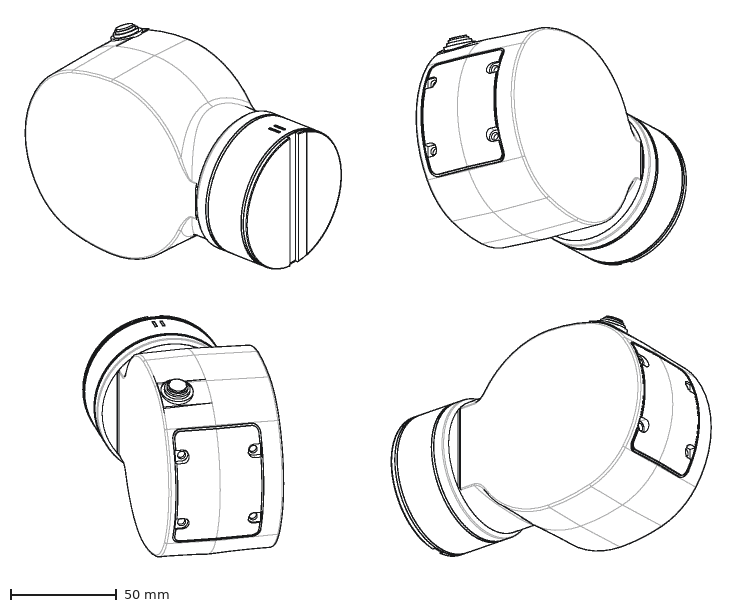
import math

import cadquery as cq

DRUM_RADIUS = 47.5
CROWN_RADIUS = 92.0
SHOULDER_RADIUS = 38.7
BACK_RADIUS = 50.3
BACK_X = -55.46
HOUSING_FRONT_Y = -31.2
HOUSING_REAR_Y = 24.6
DRAFT_ANGLE = 1.5
RIM_FILLET = 1.0

NECK_RADIUS = 32.6
NECK_FILLET = 4.5
NECK_LIP_LENGTH = 1.0
NECK_LIP_STEP = 0.7
COLLAR_RADIUS = 34.5
COLLAR_START_X = 53.9
COLLAR_END_X = 87.0
COLLAR_CHAMFER = 2.0
COLLAR_CHAMFER_BLEND = 1.0
COLLAR_END_CHAMFER = 0.4
GROOVE_WIDTH = 1.4
GROOVE_DEPTH = 0.25
GROOVE_STARTS_X = (61.4, 83.4)
PAD_HEIGHT = 0.35
PAD_RADIUS = 34.0
PAD_EDGE_Y = 9.0
SLOT_WIDTH = 6.0
SLOT_DEPTH = 1.7
MARK_LENGTH = 6.3
MARK_WIDTH = 1.1
MARK_DEPTH = 0.3
MARK_OFFSET_Y = 1.9
MARK_CENTER_X = 76.4

COVER_WIDTH = 42.6
COVER_HEIGHT = 57.4
COVER_CORNER = 4.0
COVER_GROOVE_WIDTH = 0.9
COVER_GROOVE_DEPTH = 0.5
SCREW_Y = 17.4
SCREW_Z = 17.0
SCREW_POCKET_RADIUS = 3.0
SCREW_POCKET_FLOOR_X = -49.5
SCREW_HOLE_RADIUS = 1.9
SCREW_HOLE_DEPTH = 2.0

GLAND_SEAT_X = (-38.0, -24.0)
GLAND_X = -31.0
GLAND_Y = 15.4
GLAND_TILT = 22.0
GLAND_BASE_Z = 42.6
GLAND_FLANGE_RADIUS = 7.7
GLAND_FLANGE_DEPTH = 5.0
GLAND_STEPS = ((6.1, 1.5), (5.0, 2.7), (4.2, 3.55))

OVERSHOOT = 10.0


def toward(center, target, distance):
    """Point at a distance from center, in the direction of target."""
    dx = target[0] - center[0]
    dz = target[1] - center[1]
    scale = distance / math.hypot(dx, dz)
    return (center[0] + dx * scale, center[1] + dz * scale)


def arc_middle(center, start, end, radius):
    """Middle point of the short arc from start to end."""
    chord_middle = ((start[0] + end[0]) / 2, (start[1] + end[1]) / 2)
    return toward(center, chord_middle, radius)


def shoulder_center(crown_center, back_center):
    """Center of the shoulder arc that is tangent inside the crown and back arcs."""
    crown_reach = CROWN_RADIUS - SHOULDER_RADIUS
    back_reach = BACK_RADIUS - SHOULDER_RADIUS
    dx = back_center[0] - crown_center[0]
    dz = back_center[1] - crown_center[1]
    span = math.hypot(dx, dz)
    along = (crown_reach**2 - back_reach**2 + span**2) / (2 * span)
    across = math.sqrt(crown_reach**2 - along**2)
    x = crown_center[0] + (along * dx - across * dz) / span
    z = crown_center[1] + (along * dz + across * dx) / span
    return (x, z)


def mirrored(point):
    return (point[0], -point[1])


def housing_outline(inset):
    """Closed outline of the housing at the parting plane, moved inward by the inset."""
    top = (0, DRUM_RADIUS)
    crown_center = (0, DRUM_RADIUS - CROWN_RADIUS)
    back = (BACK_X, 0)
    back_center = (BACK_X + BACK_RADIUS, 0)
    shoulder = shoulder_center(crown_center, back_center)
    crown_end = toward(crown_center, shoulder, CROWN_RADIUS)
    back_start = toward(back_center, shoulder, BACK_RADIUS)
    crown_middle = arc_middle(crown_center, top, crown_end, CROWN_RADIUS)
    shoulder_middle = arc_middle(shoulder, crown_end, back_start, SHOULDER_RADIUS)
    outline = (
        cq.Workplane("XZ")
        .moveTo(*top)
        .threePointArc(crown_middle, crown_end)
        .threePointArc(shoulder_middle, back_start)
        .threePointArc(back, mirrored(back_start))
        .threePointArc(mirrored(shoulder_middle), mirrored(crown_end))
        .threePointArc(mirrored(crown_middle), mirrored(top))
        .threePointArc((DRUM_RADIUS, 0), top)
        .close()
    )
    return outline.offset2D(-inset) if inset else outline


def housing_slab(taper, inset=0.0):
    """Housing drum, narrowed by the taper from the parting plane to both faces."""
    front = housing_outline(inset).extrude(-HOUSING_FRONT_Y, taper=taper)
    rear = housing_outline(inset).extrude(-HOUSING_REAR_Y, taper=taper)
    return front.union(rear)


def disc_along_x(radius, start_x, length):
    return cq.Workplane("YZ", origin=(start_x, 0, 0)).circle(radius).extrude(length)


def flattened_neck(start_x, step):
    """Round bar from start_x to the collar; its flats stand proud of the housing faces by the step."""
    length = COLLAR_START_X - start_x
    width = HOUSING_REAR_Y - HOUSING_FRONT_Y + 2 * step
    limits = cq.Workplane("XY").box(length, width, 2 * NECK_RADIUS, centered=(False, False, True))
    limits = limits.translate((start_x, HOUSING_FRONT_Y - step, 0))
    return disc_along_x(NECK_RADIUS, start_x, length).intersect(limits)


def rounded_body():
    """Housing and neck, with the junction and then the rims of both faces rounded."""
    body = housing_slab(DRAFT_ANGLE).union(flattened_neck(0, 0))
    body = body.edges("%BSPLINE").fillet(NECK_FILLET)
    for face in ("<Y", ">Y"):
        body = body.faces(face).edges("not %LINE").fillet(RIM_FILLET)
    lip = flattened_neck(COLLAR_START_X - NECK_LIP_LENGTH, NECK_LIP_STEP)
    return body.union(lip)


def collar():
    """Collar ring with its chamfers, two shallow grooves and the raised part of its end face."""
    ring = disc_along_x(COLLAR_RADIUS, COLLAR_START_X, COLLAR_END_X - COLLAR_START_X)
    ring = ring.faces("<X").edges().chamfer(COLLAR_CHAMFER)
    ring = ring.faces(">X").edges().chamfer(COLLAR_END_CHAMFER)
    widest_edges = cq.selectors.RadiusNthSelector(-1)
    ring = ring.edges(widest_edges).edges("<X").fillet(COLLAR_CHAMFER_BLEND)
    for start_x in GROOVE_STARTS_X:
        groove = disc_along_x(COLLAR_RADIUS + OVERSHOOT, start_x, GROOVE_WIDTH)
        ring = ring.cut(groove.cut(disc_along_x(COLLAR_RADIUS - GROOVE_DEPTH, start_x, GROOVE_WIDTH)))
    return ring.union(end_pad())


def end_pad():
    """Raised segment of the end face on the +Y side."""
    disc = disc_along_x(PAD_RADIUS, COLLAR_END_X, PAD_HEIGHT)
    keep = cq.Workplane("XY").box(
        PAD_HEIGHT, PAD_RADIUS - PAD_EDGE_Y, 2 * PAD_RADIUS, centered=(False, False, True)
    )
    return disc.intersect(keep.translate((COLLAR_END_X, PAD_EDGE_Y, 0)))


def end_slot():
    """Slot across the end face, from top to bottom."""
    slot = cq.Workplane("XY").box(2 * SLOT_DEPTH, SLOT_WIDTH, 2 * COLLAR_RADIUS + OVERSHOOT)
    return slot.translate((COLLAR_END_X, 0, 0))


def collar_marks():
    """Two engraved index lines on top of the collar."""
    floor_z = COLLAR_RADIUS - MARK_DEPTH
    return (
        cq.Workplane("XY", origin=(MARK_CENTER_X, 0, floor_z))
        .pushPoints([(0, MARK_OFFSET_Y), (0, -MARK_OFFSET_Y)])
        .rect(MARK_LENGTH, MARK_WIDTH)
        .extrude(OVERSHOOT)
    )


def cover_prism(margin):
    """Rounded rectangle of the cover, shrunk by the margin, run along X through the back wall."""
    prism = cq.Workplane("YZ").rect(COVER_WIDTH - 2 * margin, COVER_HEIGHT - 2 * margin)
    prism = prism.extrude(BACK_X - OVERSHOOT)
    return prism.edges("|X").fillet(COVER_CORNER - margin)


def cover_groove():
    """Groove around the cover, of even depth below the curved back."""
    ring = cover_prism(0).cut(cover_prism(COVER_GROOVE_WIDTH))
    return ring.cut(housing_slab(DRAFT_ANGLE, COVER_GROOVE_DEPTH))


def screw_pocket(side_y, z):
    """U-shaped screw pocket, open to the cover groove, with a round recess in its floor."""
    length = SCREW_POCKET_FLOOR_X - BACK_X + OVERSHOOT
    outside = cq.Workplane("YZ", origin=(SCREW_POCKET_FLOOR_X, side_y * SCREW_Y, z))
    round_end = outside.circle(SCREW_POCKET_RADIUS).extrude(-length)
    mouth = COVER_WIDTH / 2 - COVER_GROOVE_WIDTH / 2 - SCREW_Y
    straight = outside.center(side_y * mouth / 2, 0).rect(mouth, 2 * SCREW_POCKET_RADIUS).extrude(-length)
    inner_limit = cq.Workplane("YZ", origin=(SCREW_POCKET_FLOOR_X, 0, 0))
    inner_limit = inner_limit.rect(COVER_WIDTH - COVER_GROOVE_WIDTH, COVER_HEIGHT).extrude(-length)
    hole = outside.circle(SCREW_HOLE_RADIUS).extrude(SCREW_HOLE_DEPTH)
    return round_end.union(straight).intersect(inner_limit).union(hole)


def gland_seat():
    """Undrafted strip of the upper shoulder, between the parting plane and the rear rim."""
    start_x, end_x = GLAND_SEAT_X
    limits = cq.Workplane("XY").box(
        end_x - start_x, HOUSING_REAR_Y - RIM_FILLET, DRUM_RADIUS, centered=False
    )
    return housing_slab(0).intersect(limits.translate((start_x, 0, 0)))


def gland():
    """Cable gland: a flange and a stack of smaller discs on a tilted axis."""
    plug = cq.Workplane("XY").circle(GLAND_FLANGE_RADIUS).extrude(-GLAND_FLANGE_DEPTH)
    for radius, height in GLAND_STEPS:
        plug = plug.union(cq.Workplane("XY").circle(radius).extrude(height))
    plug = plug.rotate((0, 0, 0), (0, 1, 0), -GLAND_TILT)
    return plug.translate((GLAND_X, GLAND_Y, GLAND_BASE_Z))


result = rounded_body().union(collar()).cut(end_slot()).cut(collar_marks())
result = result.cut(cover_groove())
for side in (1, -1):
    for screw_z in (SCREW_Z, -SCREW_Z):
        result = result.cut(screw_pocket(side, screw_z))
result = result.union(gland_seat()).union(gland())